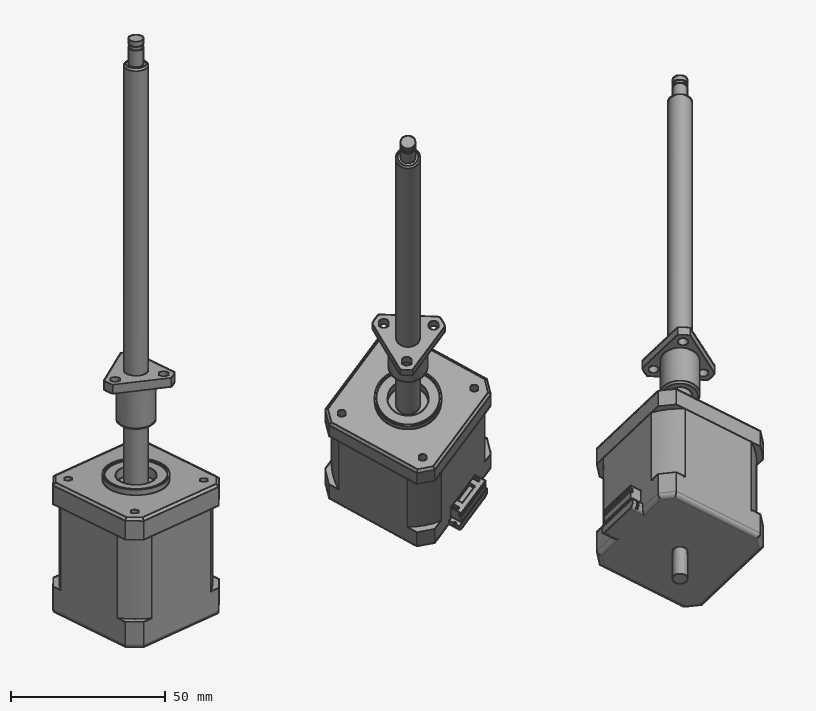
import cadquery as cq


motor_width = 42.1
motor_length = 48.0
rear_shaft_length = 12.0
corner_chamfer = 4.2
rear_block_height = 10.0
rear_fillet = 1.5
stator_corner_radius = 24.8

cap_height = 7.8
cap_edge_chamfer = 0.9
boss_radius = 10.9
boss_height = 2.0
boss_recess_radius = 10.2
boss_recess_depth = 0.5
cap_opening_radius = 6.7
cap_opening_depth = 4.0
mount_spacing = 31.0
mount_hole_diameter = 2.7

total_length = 221.8
screw_radius = 4.0
screw_chamfer = 0.7
journal_radius = 2.5
tip_length = 9.3
clip_groove_offset = 2.0
clip_groove_width = 1.3
clip_groove_depth = 0.2

nut_bottom = 69.5
nut_length = 18.6
nut_radius = 6.5
nut_chamfer = 0.7
flange_thickness = 3.3
flange_tip_radius = 12.6
flange_side_distance = 8.0
flange_hole_circle_radius = 9.3
flange_hole_diameter = 3.3

ledge_width = 16.9
connector_width = 14.6
connector_reach = 4.0
connector_inset = 2.2
connector_bottom = 4.5
connector_top = rear_block_height
connector_groove_height = 1.3
connector_groove_depth = 0.9
connector_groove_bottom = 7.5
connector_slot_width = 0.9
connector_slot_spacing = 12.5
connector_recess_width = 7.5
connector_recess_reach = 2.2
connector_recess_depth = 1.5
ledge_height = 3.3
ledge_notch_width = 0.7
ledge_notch_depth = 0.7
ledge_notch_reach = 2.0

motor_side = motor_width / 2
cap_bottom = motor_length - cap_height
boss_top = motor_length + boss_height
opening_floor = boss_top - cap_opening_depth
screw_top = total_length - rear_shaft_length
screw_shoulder = screw_top - tip_length
connector_height = connector_top - connector_bottom
connector_face = motor_side + connector_reach


def cylinder(radius, bottom, height):
    return cq.Workplane("XY").workplane(offset=bottom).circle(radius).extrude(height)


def block(width, depth, height, center_x, back_y, bottom):
    """Box centred on center_x, growing toward +Y from back_y and up from bottom."""
    box = cq.Workplane("XY").box(width, depth, height, centered=(True, False, False))
    return box.translate((center_x, back_y, bottom))


def square_section(bottom, height):
    """Motor-sized square prism with flats across its corners."""
    prism = cq.Workplane("XY").workplane(offset=bottom).rect(motor_width, motor_width).extrude(height)
    return prism.edges("|Z").chamfer(corner_chamfer)


def make_ledge():
    """Shelf under the connector, notched on both ends."""
    ledge = block(ledge_width, connector_inset + connector_reach, ledge_height,
                  0, motor_side - connector_inset, 0)
    ledge = ledge.edges("<Z and |Y").fillet(rear_fillet)
    for side in (-1, 1):
        notch = block(2 * ledge_notch_depth, ledge_notch_width, ledge_height,
                      side * ledge_width / 2,
                      motor_side + ledge_notch_reach - ledge_notch_width / 2, 0)
        ledge = ledge.cut(notch)
    return ledge


def make_connector_blank():
    return block(connector_width, connector_inset + connector_reach, connector_height,
                 0, motor_side - connector_inset, connector_bottom)


def make_rear_housing():
    """Stator and rear end in one piece, bored for the screw and pocketed for the connector."""
    rear_block = square_section(0, rear_block_height).faces("<Z").edges().fillet(rear_fillet)
    stator = square_section(rear_block_height, cap_bottom - rear_block_height)
    stator = stator.intersect(cylinder(stator_corner_radius, 0, motor_length))
    housing = rear_block.union(stator).union(make_ledge())
    housing = housing.cut(make_connector_blank())
    return housing.cut(cylinder(journal_radius, 0, cap_bottom))


def make_front_cap():
    """Front end plate with its pilot boss, screw opening and four mounting holes."""
    cap = square_section(cap_bottom, cap_height).faces(">Z").edges().chamfer(cap_edge_chamfer)
    cap = cap.union(cylinder(boss_radius, motor_length, boss_height))
    cap = cap.cut(cylinder(boss_recess_radius, boss_top - boss_recess_depth, boss_recess_depth))
    cap = cap.cut(cylinder(cap_opening_radius, opening_floor, cap_opening_depth))
    cap = cap.cut(cylinder(journal_radius, cap_bottom, cap_height))
    mount_holes = (cq.Workplane("XY").workplane(offset=cap_bottom)
                   .rect(mount_spacing, mount_spacing, forConstruction=True).vertices()
                   .circle(mount_hole_diameter / 2).extrude(cap_height))
    return cap.cut(mount_holes)


def make_screw():
    """Lead screw with a plain rear shaft and a plain tip carrying a clip groove."""
    screw = cylinder(screw_radius, opening_floor, screw_shoulder - opening_floor)
    screw = screw.faces(">Z").edges().chamfer(screw_chamfer)
    screw = screw.union(cylinder(journal_radius, -rear_shaft_length, total_length))
    groove_bottom = screw_top - clip_groove_offset - clip_groove_width
    groove = cylinder(screw_radius, groove_bottom, clip_groove_width)
    groove = groove.cut(cylinder(journal_radius - clip_groove_depth, groove_bottom, clip_groove_width))
    return screw.cut(groove)


def make_nut():
    """Round nut with a triangular flange at its top, one corner pointing to -Y."""
    nut = cylinder(nut_radius, nut_bottom, nut_length).faces("<Z").edges().chamfer(nut_chamfer)
    flange_bottom = nut_bottom + nut_length - flange_thickness
    triangle = (cq.Workplane("XY").workplane(offset=flange_bottom)
                .transformed(rotate=(0, 0, -90))
                .polygon(3, 4 * flange_side_distance).extrude(flange_thickness))
    flange = triangle.intersect(cylinder(flange_tip_radius, flange_bottom, flange_thickness))
    flange_holes = (cq.Workplane("XY").workplane(offset=flange_bottom)
                    .polarArray(flange_hole_circle_radius, -90, 360, 3)
                    .circle(flange_hole_diameter / 2).extrude(flange_thickness))
    nut = nut.union(flange.cut(flange_holes))
    return nut.cut(cylinder(screw_radius, nut_bottom, nut_length))


def make_connector():
    """Plug socket: a groove across its outer face, two slots and a middle recess in its top."""
    recess_floor = connector_top - connector_recess_depth
    connector = make_connector_blank()
    connector = connector.cut(block(connector_width, connector_groove_depth, connector_groove_height,
                                    0, connector_face - connector_groove_depth,
                                    connector_groove_bottom))
    for side in (-1, 1):
        slot = block(connector_slot_width, connector_recess_reach, connector_recess_depth,
                     side * connector_slot_spacing / 2, motor_side, recess_floor)
        connector = connector.cut(slot)
    return connector.cut(block(connector_recess_width, connector_recess_reach, connector_recess_depth,
                               0, motor_side, recess_floor))


rear_housing = make_rear_housing()
front_cap = make_front_cap()
screw = make_screw()
nut = make_nut()
connector = make_connector()

result = cq.Compound.makeCompound([
    rear_housing.val(),
    front_cap.val(),
    screw.val(),
    nut.val(),
    connector.val(),
])